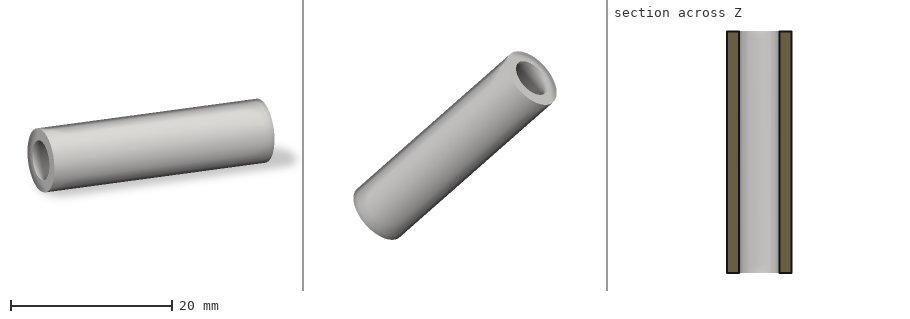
import cadquery as cq

length = 30.0
outer_diameter = 8.0
bore_diameter = 5.0

result = (
    cq.Workplane("XZ", origin=(0, length / 2, 0))
    .circle(outer_diameter / 2)
    .circle(bore_diameter / 2)
    .extrude(length)
)